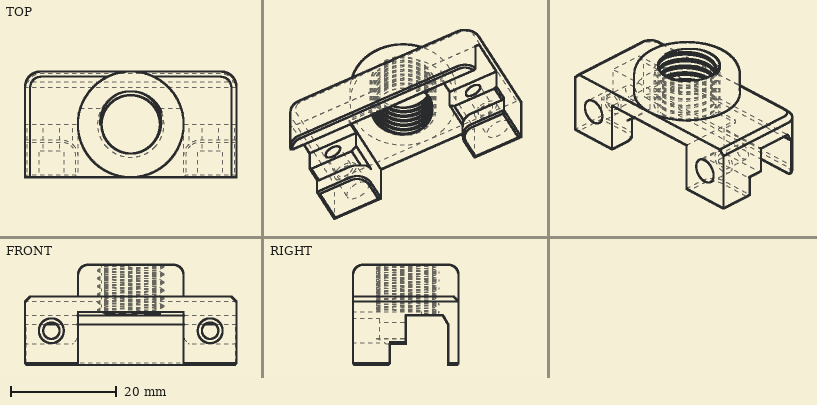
import cadquery as cq
import math

length = 40.0
depth = 20.0
block_height = 13.0
rear_corner_radius = 3.0
top_chamfer = 1.0
bottom_chamfer = 0.4
front_y = -depth / 2
rear_y = depth / 2

plate_underside_z = 9.4
rear_wall = 2.0
haunch_width = 1.0
haunch_angle = 60.0
haunch_height = haunch_width * math.tan(math.radians(haunch_angle))
leg_depth = 7.0
ledge_depth = 10.0
ledge_z = 4.0
ledge_inner_chamfer = 1.0

opening_width = 20.0
opening_top_z = 10.0
opening_rear_y = 3.0
leg_corner_radius = 3.0

boss_diameter = 20.0
boss_top_z = 19.0
boss_fillet = 2.0
bore_diameter = 11.0
thread_pitch = 1.5
thread_depth = 0.75
thread_flank_angle = 30.0
thread_root_flat = thread_pitch / 8
thread_turns = 7.5
thread_top_z = boss_top_z + thread_pitch / 4

screw_spacing = 30.0
screw_z = 6.5
screw_diameter = 3.1
counterbore_diameter = 4.7
counterbore_depth = 5.0


def make_block():
    """Block with rounded rear corners, chamfered on top except along the front."""
    block = cq.Workplane("XY").box(length, depth, block_height, centered=(True, True, False))
    block = block.edges("|Z and >Y").fillet(rear_corner_radius)
    return block.faces(">Z").edges("not(<Y)").chamfer(top_chamfer)


def make_recess():
    """Stepped channel across the full length, under the plate."""
    leg_y = front_y + leg_depth
    ledge_y = front_y + ledge_depth
    wall_y = rear_y - rear_wall
    profile = [
        (leg_y, 0),
        (leg_y, ledge_z),
        (ledge_y, ledge_z),
        (ledge_y, plate_underside_z),
        (wall_y - haunch_width, plate_underside_z),
        (wall_y, plate_underside_z - haunch_height),
        (wall_y, 0),
    ]
    return cq.Workplane("YZ").polyline(profile).close().extrude(length / 2, both=True)


def make_opening():
    """Gap between the legs, cut slightly up into the plate."""
    opening = cq.Workplane("XY", origin=(0, front_y, 0))
    opening_depth = opening_rear_y - front_y
    return opening.box(opening_width, opening_depth, opening_top_z, centered=(True, False, False))


def round_leg_corners(body):
    """Round the inner rear vertical corner of each leg below the ledge."""
    leg_y = front_y + leg_depth
    for side in (-1, 1):
        corner = (side * opening_width / 2, leg_y, ledge_z / 2)
        body = body.edges(cq.selectors.NearestToPointSelector(corner)).fillet(leg_corner_radius)
    return body


def chamfer_bottom_edges(body):
    """Chamfer the leg feet, the outside of the rear wall and both long edges of each ledge."""
    foot_edges = body.faces("<Z").edges()
    inner_wall_point = (0, rear_y - rear_wall, 0)
    inner_wall_edge = foot_edges.edges(cq.selectors.NearestToPointSelector(inner_wall_point)).val()
    outer_edges = [edge for edge in foot_edges.vals() if not edge.isSame(inner_wall_edge)]
    body = body.newObject(outer_edges).chamfer(bottom_chamfer)

    ledge_middle_y = front_y + (leg_depth + ledge_depth) / 2
    for side in (-1, 1):
        outer_point = (side * length / 2, ledge_middle_y, ledge_z)
        inner_point = (side * opening_width / 2, ledge_middle_y, ledge_z)
        body = body.edges(cq.selectors.NearestToPointSelector(outer_point)).chamfer(bottom_chamfer)
        body = body.edges(cq.selectors.NearestToPointSelector(inner_point)).chamfer(ledge_inner_chamfer)
    return body


def make_boss():
    """Cylinder that starts level with the foot of the top chamfer, so it fills it at the rear."""
    foot_z = block_height - top_chamfer
    boss = cq.Workplane("XY", origin=(0, 0, foot_z)).circle(boss_diameter / 2).extrude(boss_top_z - foot_z)
    return boss.faces(">Z").edges().fillet(boss_fillet)


def make_thread_groove():
    """Right-hand thread groove with a flat root, running out past both ends of the bore."""
    bore_radius = bore_diameter / 2
    overlap = 0.1
    half_root = thread_root_flat / 2
    flank_rise = (thread_depth + overlap) * math.tan(math.radians(thread_flank_angle))
    half_mouth = half_root + flank_rise
    height = thread_pitch * thread_turns
    helix = cq.Wire.makeHelix(thread_pitch, height, bore_radius)
    profile = [
        (bore_radius - overlap, -half_mouth),
        (bore_radius + thread_depth, -half_root),
        (bore_radius + thread_depth, half_root),
        (bore_radius - overlap, half_mouth),
    ]
    groove = cq.Workplane("XZ").polyline(profile).close().sweep(cq.Workplane(helix), isFrenet=True)
    return groove.translate((0, 0, thread_top_z - height))


def make_screw_holes():
    """Holes through each leg and ledge, widened from the front."""
    centers = [(-screw_spacing / 2, screw_z), (screw_spacing / 2, screw_z)]
    leg_front = cq.Workplane("XZ", origin=(0, front_y, 0)).pushPoints(centers)
    holes = leg_front.circle(screw_diameter / 2).extrude(-ledge_depth)
    counterbores = leg_front.circle(counterbore_diameter / 2).extrude(-counterbore_depth)
    return holes.union(counterbores)


def make_bore():
    return cq.Workplane("XY").circle(bore_diameter / 2).extrude(boss_top_z)


body = make_block().cut(make_recess()).cut(make_opening())
body = round_leg_corners(body)
body = chamfer_bottom_edges(body)
body = body.union(make_boss())
body = body.cut(make_bore())
body = body.cut(make_thread_groove())
result = body.cut(make_screw_holes())